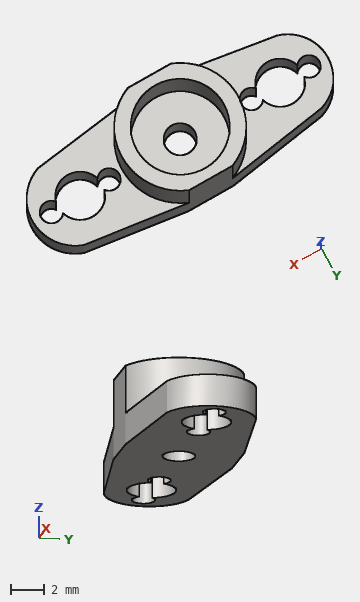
import cadquery as cq
import math

length = 20.6
width = 7.4
height = 5.0
base_thickness = 2.0

waist_half_length = 1.57
left_tip_radius = 2.76
left_corner_x = -8.35
right_tip_radius = 2.95
right_corner_x = 8.35

boss_diameter = 8.0
bore_diameter = 6.0
center_hole_diameter = 2.0

opening_offset = 7.0
large_hole_diameter = 3.0
small_hole_diameter = 1.4
small_hole_offset = 2.02


def corner_half_width(corner_x, tip_radius):
    """Half-width of the plate where a rounded tip meets its tapered sides."""
    tip_center_x = length / 2 - tip_radius
    return math.sqrt(tip_radius**2 - (abs(corner_x) - tip_center_x) ** 2)


def make_base():
    left_y = corner_half_width(left_corner_x, left_tip_radius)
    right_y = corner_half_width(right_corner_x, right_tip_radius)
    return (
        cq.Workplane("XY")
        .moveTo(-waist_half_length, width / 2)
        .lineTo(waist_half_length, width / 2)
        .lineTo(right_corner_x, right_y)
        .threePointArc((length / 2, 0), (right_corner_x, -right_y))
        .lineTo(waist_half_length, -width / 2)
        .lineTo(-waist_half_length, -width / 2)
        .lineTo(left_corner_x, -left_y)
        .threePointArc((-length / 2, 0), (left_corner_x, left_y))
        .close()
        .extrude(base_thickness)
    )


def make_boss():
    """Round boss with two flats flush with the sides of the base."""
    flats = cq.Workplane("XY").box(boss_diameter, width, height, centered=(True, True, False))
    return cq.Workplane("XY").circle(boss_diameter / 2).extrude(height).intersect(flats)


def vertical_cylinder(x, diameter, bottom=0.0):
    """Cutting cylinder from the given level up to the top of the part."""
    return cq.Workplane("XY", origin=(x, 0, bottom)).circle(diameter / 2).extrude(height - bottom)


result = make_base().union(make_boss())

result = result.cut(vertical_cylinder(0, bore_diameter, base_thickness))
result = result.cut(vertical_cylinder(0, center_hole_diameter))

for opening_x in (-opening_offset, opening_offset):
    result = result.cut(vertical_cylinder(opening_x, large_hole_diameter))
    for side in (-1, 1):
        small_hole_x = opening_x + side * small_hole_offset
        result = result.cut(vertical_cylinder(small_hole_x, small_hole_diameter))